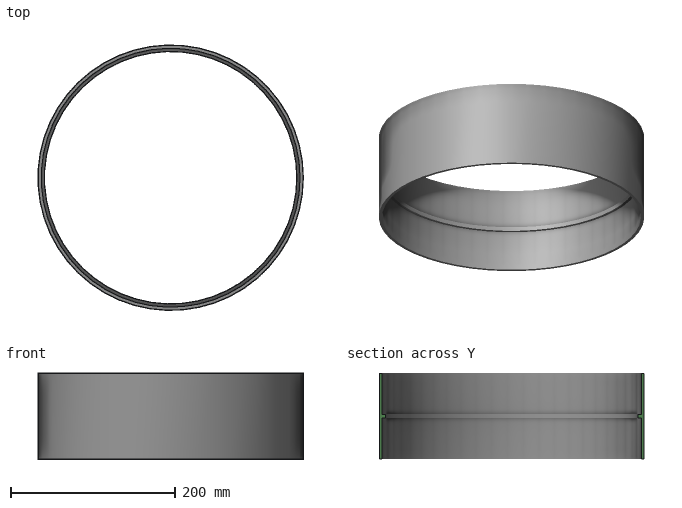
import cadquery as cq

outer_diameter = 323
bore_diameter = 315.0
rib_diameter = 307
height = 105.0
rib_thickness = 5.0
rib_bottom = (height - rib_thickness) / 2


def ring(outside, inside, length, base=0):
    """Ring around the Z axis, standing on the level base."""
    return (
        cq.Workplane("XY")
        .workplane(offset=base)
        .circle(outside / 2)
        .circle(inside / 2)
        .extrude(length)
    )


sleeve = ring(outer_diameter, bore_diameter, height)

stop_rib = ring(outer_diameter, rib_diameter, rib_thickness, rib_bottom)

result = sleeve.union(stop_rib)